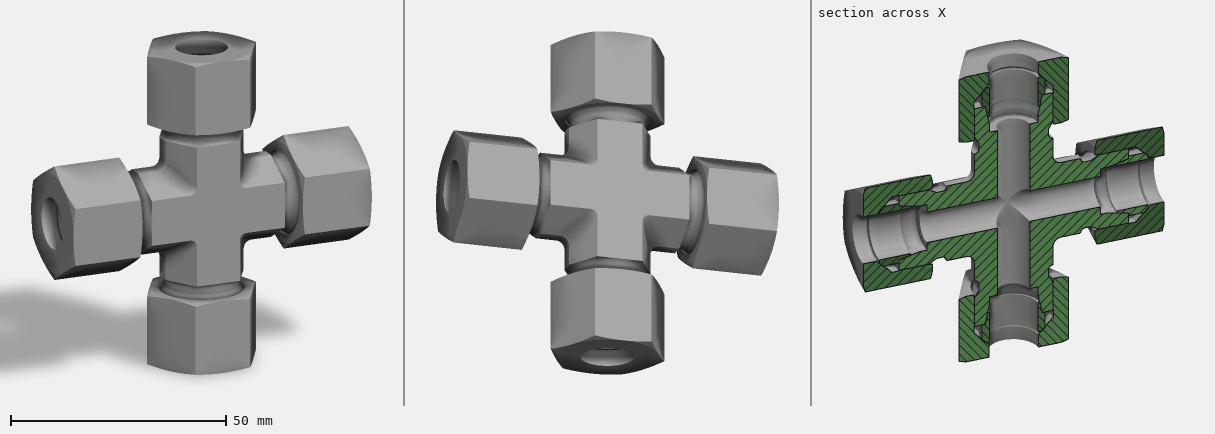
import cadquery as cq
import math


nut_outer_end = 38.0
nut_length = 17.55
nut_inner_end = nut_outer_end - nut_length
arm_end = 16.95
stub_end = 29.0
tube_stop = 22.0

arm_across_flats = 19.0
arm_across_cut_corners = 20.0
inner_corner_radius = 2.0

tube_diameter = 12.0
bore_diameter = 8.0
neck_diameter = 17.7
thread_diameter = 20.0
neck_root_radius = 1.0
run_out_start = 19.2
run_out_angle = math.radians(30)
run_out_radius = 1.0

seat_mouth_diameter = 14.3
seat_slope = math.tan(math.radians(12))
seat_length = (seat_mouth_diameter - tube_diameter) / 2 / seat_slope

nut_across_flats = 24.0
nut_corner_radius = nut_across_flats / math.sqrt(3)
nut_chamfer_slope = math.tan(math.radians(15))
nut_mouth_diameter = 12.3
nut_mouth_depth = 3.4
shoulder_start = nut_outer_end - nut_mouth_depth
shoulder_length = (thread_diameter - nut_mouth_diameter) / 2

ring_outer_diameter = 16.0
ring_recess = 0.7
ring_back = shoulder_start - ring_recess
ring_back_radius = nut_mouth_diameter / 2 + ring_recess
ring_collar_end = ring_back - (ring_outer_diameter / 2 - ring_back_radius)
ring_nose_length = 3.05

arm_angles = [0, 90, 180, 270]


def turn(profile):
    """Revolve a closed (radius, height) profile about the Z axis."""
    return profile.close().revolve(360, (0, 0, 0), (0, 1, 0))


def cylinder(diameter, bottom, top):
    return cq.Workplane("XY").workplane(offset=bottom).circle(diameter / 2).extrude(top - bottom)


def on_arm(shape, angle):
    """Turn a shape built along +Z onto the arm at the given angle about X."""
    return shape.rotate((0, 0, 0), (1, 0, 0), angle)


def hexagon(across_flats, bottom, top):
    """Hexagon prism along Z, with two flats facing -X and +X."""
    base = cq.Workplane("XY").workplane(offset=bottom)
    return base.polygon(6, across_flats, circumscribed=True).extrude(top - bottom)


def make_arm_bar():
    """Bar along Z that makes two opposite arms."""
    bar = hexagon(arm_across_flats, -arm_end, arm_end)
    return bar.intersect(cq.Workplane("XY").box(arm_across_flats, arm_across_cut_corners, 2 * arm_end))


def make_cross():
    bar = make_arm_bar()
    cross = bar.union(on_arm(bar, 90))
    selection_margin = 0.1
    reach = arm_across_cut_corners / 2 + selection_margin
    corner_edges = cq.selectors.BoxSelector(
        (-arm_across_flats, -reach, -reach), (arm_across_flats, reach, reach), boundingbox=True
    )
    return cross.edges(corner_edges).fillet(inner_corner_radius)


def make_neck_root():
    """Foot of the neck, with a concave fillet onto the end face of the arm."""
    neck_radius = neck_diameter / 2
    root_end = arm_end + neck_root_radius
    root = turn(
        cq.Workplane("XZ")
        .moveTo(0, arm_end)
        .lineTo(neck_radius + neck_root_radius, arm_end)
        .radiusArc((neck_radius, root_end), neck_root_radius)
        .lineTo(0, root_end)
    )
    return root.intersect(hexagon(arm_across_flats, arm_end, root_end))


def make_stub():
    """Neck and threaded part of the stub, joined by a rounded conical run-out."""
    neck_radius = neck_diameter / 2
    thread_radius = thread_diameter / 2
    neck_start = arm_end + neck_root_radius
    cone_radius = neck_radius + run_out_radius * (1 - math.cos(run_out_angle))
    cone_start = run_out_start + run_out_radius * math.sin(run_out_angle)
    cone_end = cone_start + (thread_radius - cone_radius) / math.tan(run_out_angle)
    return turn(
        cq.Workplane("XZ")
        .moveTo(0, neck_start)
        .lineTo(neck_radius, neck_start)
        .lineTo(neck_radius, run_out_start)
        .tangentArcPoint((cone_radius, cone_start), relative=False)
        .lineTo(thread_radius, cone_end)
        .lineTo(thread_radius, stub_end)
        .lineTo(0, stub_end)
    )


def make_arm_bore():
    """Through bore, tube socket and conical ring seat of one arm."""
    seat = turn(
        cq.Workplane("XZ")
        .moveTo(0, stub_end - seat_length)
        .lineTo(tube_diameter / 2, stub_end - seat_length)
        .lineTo(seat_mouth_diameter / 2, stub_end)
        .lineTo(0, stub_end)
    )
    socket = cylinder(tube_diameter, tube_stop, stub_end)
    return cylinder(bore_diameter, 0, stub_end).union(socket).union(seat)


def make_body():
    body = make_cross()
    stub = make_neck_root().union(make_stub())
    arm_bore = make_arm_bore()
    for angle in arm_angles:
        body = body.union(on_arm(stub, angle))
    for angle in arm_angles:
        body = body.cut(on_arm(arm_bore, angle))
    return body


def make_nut():
    flat_radius = nut_across_flats / 2
    chamfer_drop = (nut_corner_radius - flat_radius) * nut_chamfer_slope
    chamfered_blank = turn(
        cq.Workplane("XZ")
        .moveTo(0, nut_inner_end)
        .lineTo(flat_radius, nut_inner_end)
        .lineTo(nut_corner_radius, nut_inner_end + chamfer_drop)
        .lineTo(nut_corner_radius, nut_outer_end - chamfer_drop)
        .lineTo(flat_radius, nut_outer_end)
        .lineTo(0, nut_outer_end)
    )
    cavity = turn(
        cq.Workplane("XZ")
        .moveTo(0, nut_inner_end)
        .lineTo(thread_diameter / 2, nut_inner_end)
        .lineTo(thread_diameter / 2, shoulder_start - shoulder_length)
        .lineTo(nut_mouth_diameter / 2, shoulder_start)
        .lineTo(nut_mouth_diameter / 2, nut_outer_end)
        .lineTo(0, nut_outer_end)
    )
    return hexagon(nut_across_flats, nut_inner_end, nut_outer_end).intersect(chamfered_blank).cut(cavity)


def make_ring():
    """Cutting ring: bevelled collar against the nut, tapered nose in the stub seat."""
    inner_radius = tube_diameter / 2
    outer_radius = ring_outer_diameter / 2
    mouth_radius = seat_mouth_diameter / 2
    nose_end = stub_end - ring_nose_length
    return turn(
        cq.Workplane("XZ")
        .moveTo(inner_radius, ring_back)
        .lineTo(ring_back_radius, ring_back)
        .lineTo(outer_radius, ring_collar_end)
        .lineTo(outer_radius, stub_end)
        .lineTo(mouth_radius, stub_end)
        .lineTo(mouth_radius - ring_nose_length * seat_slope, nose_end)
        .lineTo(inner_radius, nose_end)
    )


body = make_body()
nut = make_nut()
ring = make_ring()
nuts = [on_arm(nut, angle).val() for angle in arm_angles]
rings = [on_arm(ring, angle).val() for angle in arm_angles]

result = cq.Compound.makeCompound([body.val(), *nuts, *rings])